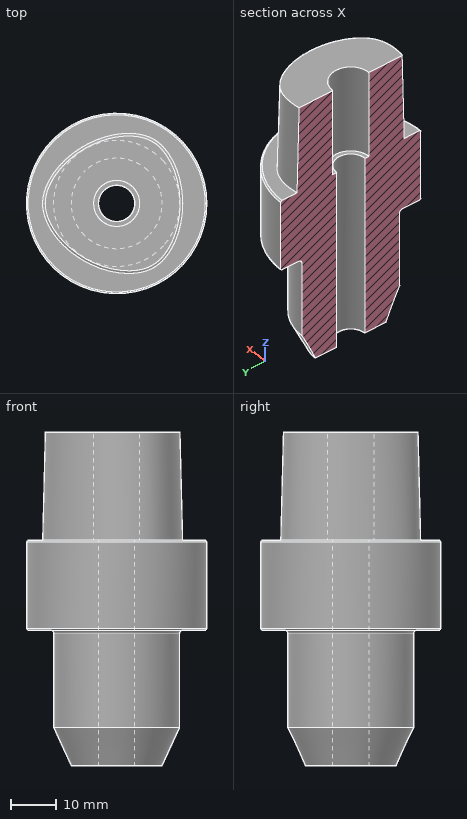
import cadquery as cq
import math

total_length = 74.0
nose_height = 8.5
collar_bottom = 30.05
collar_top = 50.0
shank_length = total_length - collar_top

collar_diameter = 40.0
collar_radius = collar_diameter / 2
collar_chamfer = 0.4
stem_radius = 14.0
nose_radius = 10.1
fillet_radius = 0.75

shank_base_radius = 15.55
shank_tip_radius = 14.95
lobe_offset = 0.9
profile_points = 72

bore_radius = 4.0
counterbore_radius = 5.1
counterbore_depth = shank_length


def make_body():
    """Revolve the nose, the stem and the collar about Z."""
    collar_face_radius = collar_radius - collar_chamfer
    fillet_start = collar_bottom - fillet_radius
    fillet_end = stem_radius + fillet_radius
    return (
        cq.Workplane("XZ")
        .moveTo(0, 0)
        .lineTo(nose_radius, 0)
        .lineTo(stem_radius, nose_height)
        .lineTo(stem_radius, fillet_start)
        .radiusArc((fillet_end, collar_bottom), fillet_radius)
        .lineTo(collar_face_radius, collar_bottom)
        .lineTo(collar_radius, collar_bottom + collar_chamfer)
        .lineTo(collar_radius, collar_top - collar_chamfer)
        .lineTo(collar_face_radius, collar_top)
        .lineTo(0, collar_top)
        .close()
        .revolve(360, (0, 0, 0), (0, 1, 0))
    )


def lobed_points(mean_radius):
    """Points on a three-lobed curve of constant width."""
    points = []
    for i in range(profile_points):
        a = 2 * math.pi * i / profile_points
        x = mean_radius * math.cos(a) - lobe_offset * (2 * math.cos(2 * a) - math.cos(4 * a))
        y = mean_radius * math.sin(a) + lobe_offset * (2 * math.sin(2 * a) + math.sin(4 * a))
        points.append((x, y))
    return points


def make_shank():
    """Loft the lobed curve from the collar up to the smaller end face."""
    return (
        cq.Workplane("XY")
        .workplane(offset=collar_top)
        .spline(lobed_points(shank_base_radius), periodic=True)
        .close()
        .workplane(offset=shank_length)
        .spline(lobed_points(shank_tip_radius), periodic=True)
        .close()
        .loft(ruled=True)
    )


def make_bore():
    """Through hole with a counterbore from the shank end."""
    through_hole = cq.Workplane("XY").circle(bore_radius).extrude(total_length)
    counterbore = (
        cq.Workplane("XY")
        .workplane(offset=total_length - counterbore_depth)
        .circle(counterbore_radius)
        .extrude(counterbore_depth)
    )
    return through_hole.union(counterbore)


result = make_body().union(make_shank()).cut(make_bore())